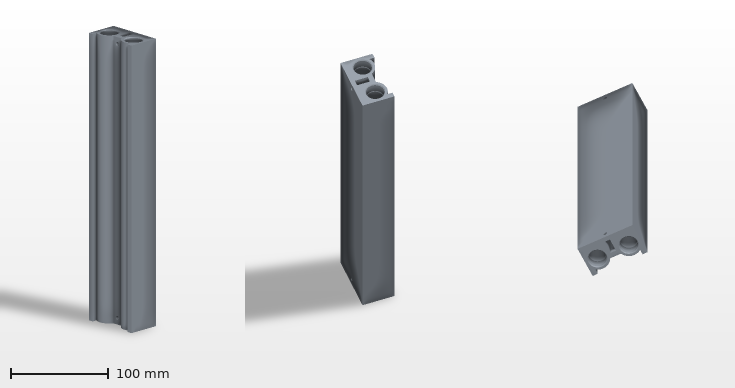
import cadquery as cq

width = 62.5
depth = 35.0
length = 308.0

web_depth = 24.5
leg_thickness = 5.5
channel_spacing = 35.7
channel_depth = 19.0
lobe_radius = 13.0

passage_width = 6.5
passage_back_wall = 5.0

bore_diameter = 17.0
port_diameter = 18.8
port_depth = 10.0
port_chamfer = 1.0

mount_diameter = 4.3
mount_end_distance = 7.0

channel_centers = [(side * channel_spacing / 2, -channel_depth) for side in (-1, 1)]


def back_box(box_width, box_depth):
    """Full-length block centred on X that reaches forward from the back face."""
    block = cq.Workplane("XY").box(box_width, box_depth, length, centered=(True, False, False))
    return block.translate((0, -box_depth, 0))


def make_body():
    """Web with a leg on each side and a round lobe around each channel."""
    legs = back_box(width, depth).cut(back_box(width - 2 * leg_thickness, depth))
    lobes = cq.Workplane("XY").pushPoints(channel_centers).circle(lobe_radius).extrude(length)
    return back_box(width, web_depth).union(legs).union(lobes)


def make_channel():
    """Stepped bore along Z with a chamfered port at each end."""
    bore_radius = bore_diameter / 2
    port_radius = port_diameter / 2
    mouth_radius = port_radius + port_chamfer
    half_profile = [
        (0, 0),
        (mouth_radius, 0),
        (port_radius, port_chamfer),
        (port_radius, port_depth),
        (bore_radius, port_depth),
        (bore_radius, length - port_depth),
        (port_radius, length - port_depth),
        (port_radius, length - port_chamfer),
        (mouth_radius, length),
        (0, length),
    ]
    return cq.Workplane("XZ").polyline(half_profile).close().revolve(360, (0, 0, 0), (0, 1, 0))


def make_passage():
    """Rectangular passage along Z that ends level with the channel axes."""
    return back_box(passage_width, channel_depth).cut(back_box(passage_width, passage_back_wall))


def make_mounting_holes():
    """Round holes along Y through the web, one near each end."""
    centers = [(0, mount_end_distance), (0, length - mount_end_distance)]
    return cq.Workplane("XZ").pushPoints(centers).circle(mount_diameter / 2).extrude(depth)


result = make_body()
for x, y in channel_centers:
    result = result.cut(make_channel().translate((x, y, 0)))
result = result.cut(make_passage()).cut(make_mounting_holes())